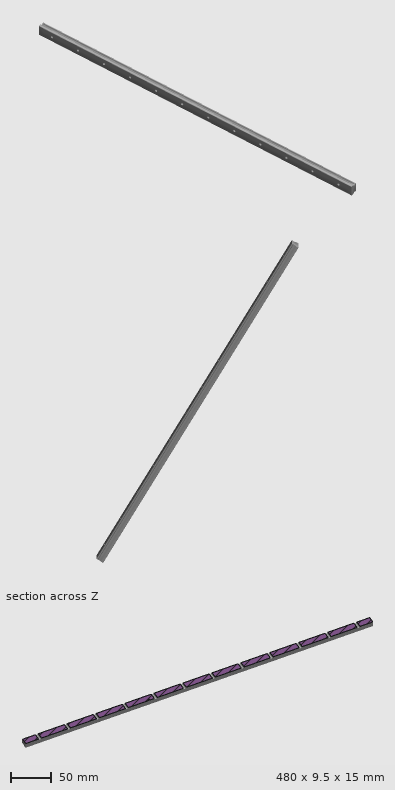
import cadquery as cq
import math

LENGTH = 480.0
HEIGHT = 9.5
WIDTH = 15.0

EDGE_CHAMFER = 0.45
SHOULDER_LEVEL = 3.15
GROOVE_START_LEVEL = 4.8
GROOVE_BOTTOM_LEVEL = 6.6
GROOVE_END_LEVEL = 7.1
HEAD_START_LEVEL = 7.95
GROOVE_RADIUS = 4.5
HEAD_WIDTH = 12.95

HOLE_DIAMETER = 3.5
HOLE_PITCH = 40.0
HOLE_COUNT = 12


def make_rail():
    """Extrude half the profile along X and mirror it about the Z = 0 plane."""
    base = -HEIGHT / 2
    top = HEIGHT / 2
    half_width = WIDTH / 2
    half_head = HEAD_WIDTH / 2

    slope_end = half_width - (GROOVE_START_LEVEL - SHOULDER_LEVEL)

    def arc_drop(level):
        """Distance in Z from the groove arc's centre to the arc at a level."""
        return math.sqrt(GROOVE_RADIUS**2 - (level - GROOVE_BOTTOM_LEVEL) ** 2)

    arc_center = slope_end + arc_drop(GROOVE_START_LEVEL)

    def groove_point(level):
        return (base + level, arc_center - arc_drop(level))

    half_rail = (
        cq.Workplane("YZ")
        .moveTo(base, 0)
        .lineTo(base, half_width - EDGE_CHAMFER)
        .lineTo(base + EDGE_CHAMFER, half_width)
        .lineTo(base + SHOULDER_LEVEL, half_width)
        .lineTo(base + GROOVE_START_LEVEL, slope_end)
        .threePointArc(groove_point(GROOVE_BOTTOM_LEVEL), groove_point(GROOVE_END_LEVEL))
        .lineTo(base + HEAD_START_LEVEL, half_head)
        .lineTo(top - EDGE_CHAMFER, half_head)
        .lineTo(top, half_head - EDGE_CHAMFER)
        .lineTo(top, 0)
        .close()
        .extrude(LENGTH / 2, both=True)
    )
    return half_rail.union(half_rail.mirror("XY")).clean()


def cut_mounting_holes(rail):
    """Drill the row of through holes along the rail centre line."""
    return (
        rail.faces("<Y")
        .workplane(centerOption="CenterOfBoundBox")
        .rarray(HOLE_PITCH, 1, HOLE_COUNT, 1)
        .hole(HOLE_DIAMETER)
    )


result = cut_mounting_holes(make_rail())